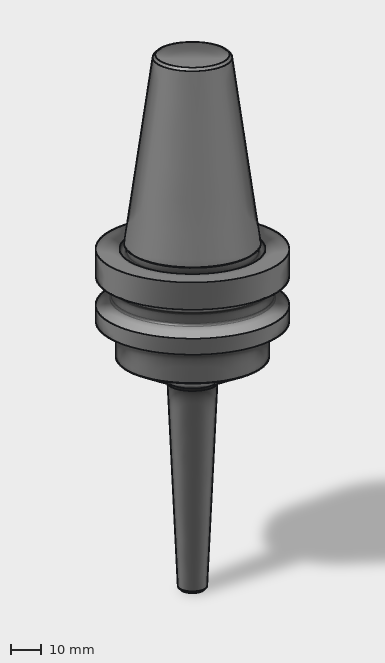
import cadquery as cq

total_length = 185.4
gauge_z = 120.0
relief_z = 119.4
flange_top_z = 118.1
flange_bottom_z = 93.0
groove_center_z = 103.6
nose_bottom_z = 80.5
stem_top_z = 71.7

taper_small_radius = 13.0
taper_large_radius = 22.2
relief_radius = 21.5
face_recess_radius = 23.7
flange_radius = 31.5
groove_radius = 26.5
nose_radius = 25.0
stem_top_radius = 8.2
stem_tip_radius = 4.8

face_recess_wall = 0.7
groove_mouth_width = 10.0
groove_floor_width = 4.3
groove_fillet = 1.0
shank_end_chamfer = 1.0
tip_chamfer = 1.1
stem_root_rise = 1.1
stem_root_flare = 0.5
nose_chamfer = 0.4


def holder_body():
    """Revolved taper shank, flange, nose and slender tapered stem."""
    recess_radius = (face_recess_radius - relief_radius) / 2
    recess_arc_z = flange_top_z - face_recess_wall
    recess_bottom = (relief_radius + recess_radius, recess_arc_z - recess_radius)
    root_radius = stem_top_radius + stem_root_flare
    root_z = stem_top_z + stem_root_rise
    profile = (
        cq.Workplane("XZ")
        .moveTo(0, 0)
        .lineTo(stem_tip_radius - tip_chamfer, 0)
        .lineTo(stem_tip_radius, tip_chamfer)
        .lineTo(stem_top_radius, stem_top_z)
        .lineTo(root_radius, root_z)
        .lineTo(nose_radius - nose_chamfer, nose_bottom_z)
        .lineTo(nose_radius, nose_bottom_z + nose_chamfer)
        .lineTo(nose_radius, flange_bottom_z)
        .lineTo(flange_radius, flange_bottom_z)
        .lineTo(flange_radius, flange_top_z)
        .lineTo(face_recess_radius, flange_top_z)
        .lineTo(face_recess_radius, recess_arc_z)
        .threePointArc(recess_bottom, (relief_radius, recess_arc_z))
        .lineTo(relief_radius, relief_z)
        .lineTo(taper_large_radius, gauge_z)
        .lineTo(taper_small_radius, total_length - shank_end_chamfer)
        .lineTo(taper_small_radius - shank_end_chamfer, total_length)
        .lineTo(0, total_length)
        .close()
    )
    return profile.revolve(360, (0, 0, 0), (0, 1, 0))


def gripper_groove():
    """Ring with the V-groove section, rounded at its floor edges."""
    half_mouth = groove_mouth_width / 2
    half_floor = groove_floor_width / 2
    section = (
        cq.Workplane("XZ")
        .moveTo(groove_radius, groove_center_z - half_floor)
        .lineTo(flange_radius, groove_center_z - half_mouth)
        .lineTo(flange_radius, groove_center_z + half_mouth)
        .lineTo(groove_radius, groove_center_z + half_floor)
        .close()
    )
    ring = section.revolve(360, (0, 0, 0), (0, 1, 0))
    floor_edges = ring.edges(cq.selectors.RadiusNthSelector(0))
    return floor_edges.fillet(groove_fillet)


result = holder_body().cut(gripper_groove())